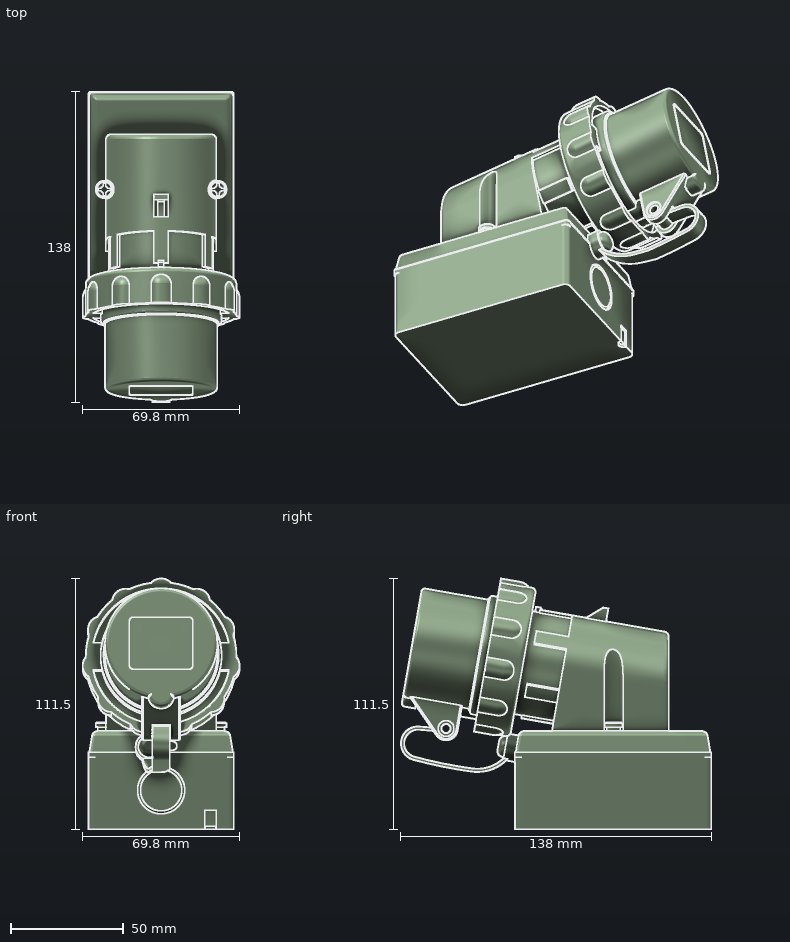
import cadquery as cq
import math

BOX_WIDTH = 64.7
BOX_DEPTH = 87.3
BOX_HEIGHT = 34.4
BOX_CORNER = 2.8
RIM_HEIGHT = 2.3
RIM_CORNER = 1.4

LID_INSET = 0.4
LID_HEIGHT = 9.4
LID_TAPER = 9.5
LID_CORNER = 1.4
LID_TOP_ROUND = 2.8
LID_TOP = BOX_HEIGHT + LID_HEIGHT

KNOCKOUT_HEIGHT = 17.4
KNOCKOUT_DIAMETER = 21.0
KNOCKOUT_FACE_DIAMETER = 18.4
KNOCKOUT_DEPTH = 1.2

NOTCH_X = 22.0
NOTCH_WIDTH = 5.1
NOTCH_HEIGHT = 8.4
NOTCH_FOOT = 1.4
NOTCH_DEPTH = 0.8

LID_SLOT_HEIGHT = 3.9
LID_SLOT_LENGTH = 7.2
LID_SLOT_X = 3.5
LID_SLOT_Z = 37.1
LID_SLOT_DEPTH = 1.7

TILT = 10.0
HOOD_REAR = 18.9
AXIS_HEIGHT = 62.6
HOOD_RADIUS = 24.5
HOOD_LENGTH = 47.9
HOOD_REAR_ROUND = 2.5
BARREL_DIAMETER = 46.5

RIB_COUNT = 6
RIB_LENGTH = 14.5
RIB_WIDTH = 6.3
RIB_END = HOOD_LENGTH + RIB_LENGTH
POINTER_WIDTH = 2.5
POINTER_LENGTH = 2.1
POINTER_HEIGHT = 1.0

HOOK_START = 32.5
HOOK_TIP = 2.3
HOOK_FOOT = 9.0
HOOK_HEIGHT = 5.8
HOOK_WIDTH = 6.5
HOOK_GAP = 2.9

SCREW_X = 25.2
SCREW_Y = -43.5
SCREW_CHANNEL_RADIUS = 4.3
SCREW_HEAD_DIAMETER = 7.7
SCREW_NECK_DIAMETER = 6.0
SCREW_NECK_HEIGHT = 1.7
SCREW_HEAD_HEIGHT = 2.2
SCREW_EDGE = 0.5
CROSS_LENGTH = 5.5
CROSS_WIDTH = 1.1
CROSS_CENTRE = 3.0
CROSS_DEPTH = 1.1

RING_FRONT = 82.0
RING_LENGTH = 16.3
RING_DIAMETER = 67.0
RING_REAR_ROUND = 2.1
RING_OUTER_RADIUS = 35.2
LOBE_COUNT = 11
LOBE_DIAMETER = 12.0
LOBE_LENGTH = 8.7
RECESS_RADIUS = 30.8
RECESS_DEPTH = 2.8
RECESS_TAB_WIDTH = 12.3

CAP_DIAMETER = 50.0
CAP_FRONT = 115.8
CAP_EDGE_ROUND = 1.7
FLANGE_RADIUS = 26.9
FLANGE_LENGTH = 3.3
FLANGE_ROUND = 1.1
COLLAR_RADIUS = 25.7
COLLAR_LENGTH = 0.5
THUMB_DIAMETER = 12.0
THUMB_REACH = 28.4
THUMB_LENGTH = 6.3
LABEL_WIDTH = 28.1
LABEL_HEIGHT = 23.5
LABEL_CORNER = 1.7
LABEL_DEPTH = 0.3

EAR_WIDTH = 17.1
EAR_FRONT = 112.5
EAR_ROOT = 20.7
EAR_TOP = 23.9
EAR_PIN_ALONG = 94.4
EAR_PIN_BELOW = 34.8
EAR_RADIUS = 5.2
EAR_EDGE = 0.7
EAR_SLOT_WIDTH = 8.0
EAR_SLOT_TOP = 34.5
PIN_HOLE_DIAMETER = 4.0
PIN_HOLE_RIM_DIAMETER = 7.0
PIN_HOLE_RIM_DEPTH = 0.7

BUTTON_X = -5.4
BUTTON_Y = -91.5
BUTTON_Z = 36.7
BUTTON_DIAMETER = 12.0
BUTTON_LENGTH = 7.6
BUTTON_SCREW_DIAMETER = 9.5
BUTTON_SCREW_HEIGHT = 3.3
BUTTON_SCREW_ROUND = 2.8
BUTTON_CROSS_LENGTH = 3.6

STRAP_WIDTH = 7.7
STRAP_THICKNESS = 1.5
STRAP_NECK_WIDTH = 6.1
STRAP_STRAIGHT = 113.1
STRAP_EYE_RADIUS = 3.5
STRAP_DROP = (-96.5, 27.9)
STRAP_SAG = (-106.2, 26.4)
STRAP_RISE = (-132.2, 31.6)
STRAP_RETURN = (-130.0, 45.0)

tilt = math.radians(TILT)
AXIS_DIRECTION = (0, -math.cos(tilt), math.sin(tilt))
TUBE = cq.Plane((0, -HOOD_REAR, AXIS_HEIGHT), (1, 0, 0), AXIS_DIRECTION)
BUTTON = cq.Plane((BUTTON_X, BUTTON_Y, BUTTON_Z), (1, 0, 0), AXIS_DIRECTION)
TUBE_FRONT = cq.selectors.DirectionMinMaxSelector(cq.Vector(*AXIS_DIRECTION), True)
TUBE_REAR = cq.selectors.DirectionMinMaxSelector(cq.Vector(*AXIS_DIRECTION), False)
ALONG_TUBE = cq.selectors.ParallelDirSelector(cq.Vector(*AXIS_DIRECTION))

FRONT = cq.Plane((0, -BOX_DEPTH, 0), (1, 0, 0), (0, -1, 0))


def tube_at(along):
    """Workplane square to the tube axis, at a distance along it."""
    return cq.Workplane(TUBE).workplane(offset=along)


def tube_disc(radius, start, end):
    return tube_at(start).circle(radius).extrude(end - start)


def tube_block(width, low, high, start, end):
    """Block centred on x = 0, between two heights and two places along the axis."""
    middle = (low + high) / 2
    return tube_at(start).center(0, middle).rect(width, high - low).extrude(end - start)


def side_plane(x):
    """Workplane facing -X whose first direction runs along the axis and second up across it."""
    return cq.Workplane(cq.Plane((x, -HOOD_REAR, AXIS_HEIGHT), AXIS_DIRECTION, (-1, 0, 0)))


def tube_side_profile(points, width):
    """Side outline given as (along, height) pairs, spread evenly about x = 0."""
    return side_plane(width / 2).polyline(points).close().extrude(width)


def cross_recess(plane, length):
    """Crossed driver slots with a diamond centre, sunk below a screw face."""
    face = cq.Workplane(plane)
    recess = face.rect(length, CROSS_WIDTH).extrude(-CROSS_DEPTH)
    recess = recess.union(face.rect(CROSS_WIDTH, length).extrude(-CROSS_DEPTH))
    diamond = face.transformed((0, 0, 45)).rect(CROSS_CENTRE, CROSS_CENTRE).extrude(-CROSS_DEPTH)
    return recess.union(diamond)


def box():
    middle = -BOX_DEPTH / 2
    lower_height = BOX_HEIGHT - RIM_HEIGHT
    lower = cq.Workplane("XY").center(0, middle).rect(BOX_WIDTH, BOX_DEPTH).extrude(lower_height)
    lower = lower.edges("|Z").fillet(BOX_CORNER)
    rim = cq.Workplane("XY", (0, middle, lower_height)).rect(BOX_WIDTH, BOX_DEPTH).extrude(RIM_HEIGHT)
    rim = rim.edges("|Z").fillet(RIM_CORNER)
    lid = cq.Workplane("XY", (0, middle, BOX_HEIGHT))
    lid = lid.rect(BOX_WIDTH - 2 * LID_INSET, BOX_DEPTH - 2 * LID_INSET)
    lid = lid.extrude(LID_HEIGHT, taper=LID_TAPER)
    lid = lid.faces(">Z").edges().fillet(LID_TOP_ROUND).edges("not(#Z)").fillet(LID_CORNER)
    return lower.union(rim).union(lid)


def knockout_groove():
    """Ring groove with a straight outer wall around a tapered island."""
    face = cq.Workplane(FRONT).center(0, KNOCKOUT_HEIGHT)
    taper = math.atan2((KNOCKOUT_DIAMETER - KNOCKOUT_FACE_DIAMETER) / 2, KNOCKOUT_DEPTH)
    island = face.circle(KNOCKOUT_FACE_DIAMETER / 2).extrude(-KNOCKOUT_DEPTH, taper=-math.degrees(taper))
    return face.circle(KNOCKOUT_DIAMETER / 2).extrude(-KNOCKOUT_DEPTH).cut(island)


def notch():
    """Shallow pocket at the front's lower edge, deepened at the foot by an upright round."""
    face = cq.Workplane(FRONT).center(NOTCH_X, NOTCH_HEIGHT / 2)
    pocket = face.rect(NOTCH_WIDTH, NOTCH_HEIGHT).extrude(-NOTCH_DEPTH)
    foot = cq.Workplane("XY", (NOTCH_X, -BOX_DEPTH, 0)).circle(NOTCH_WIDTH / 2).extrude(NOTCH_FOOT)
    return pocket.union(foot)


def lid_slot():
    face = cq.Workplane(FRONT).center(LID_SLOT_X, LID_SLOT_Z)
    return face.slot2D(LID_SLOT_LENGTH, LID_SLOT_HEIGHT).extrude(-LID_SLOT_DEPTH)


def hood():
    rear_reach = HOOD_RADIUS * math.tan(tilt)
    round_top = tube_disc(HOOD_RADIUS, -rear_reach, HOOD_LENGTH)
    skirt_drop = AXIS_HEIGHT - BOX_HEIGHT
    skirt = tube_side_profile(
        [
            (-skirt_drop, 0),
            (HOOD_LENGTH, 0),
            (HOOD_LENGTH, -2 * skirt_drop),
            (-skirt_drop, -2 * skirt_drop),
        ],
        2 * HOOD_RADIUS,
    )
    clear = 4 * HOOD_RADIUS
    keep = cq.Workplane("XY", (0, -HOOD_REAR - clear / 2, BOX_HEIGHT)).rect(clear, clear).extrude(clear)
    body = round_top.union(skirt).intersect(keep)
    return body.faces(">Y").edges("not(<Z)").fillet(HOOD_REAR_ROUND)


def ribs():
    """Lengthwise ribs on the barrel, flush with the hood."""
    shell = tube_disc(HOOD_RADIUS, HOOD_LENGTH, RIB_END)
    bars = None
    for i in range(RIB_COUNT // 2):
        angle = i * 360 / RIB_COUNT
        bar = tube_at(HOOD_LENGTH).transformed((0, 0, angle)).rect(RIB_WIDTH, 2 * HOOD_RADIUS)
        bar = bar.extrude(RIB_LENGTH)
        bars = bar if bars is None else bars.union(bar)
    return shell.intersect(bars)


def pointer():
    """Small arrow at the end of the top rib."""
    return tube_side_profile(
        [
            (RIB_END - POINTER_LENGTH / 2, 0),
            (RIB_END - POINTER_LENGTH / 2, HOOD_RADIUS),
            (RIB_END, HOOD_RADIUS + POINTER_HEIGHT),
            (RIB_END + POINTER_LENGTH, HOOD_RADIUS + POINTER_HEIGHT),
            (RIB_END + POINTER_LENGTH, 0),
        ],
        POINTER_WIDTH,
    )


def hook():
    """Latch hook on top of the hood, with an open gap between two sloping cheeks."""
    tip = HOOD_RADIUS + HOOK_HEIGHT
    root = BARREL_DIAMETER / 2
    shape = tube_side_profile(
        [
            (HOOK_START, root),
            (HOOK_START, tip),
            (HOOK_START + HOOK_TIP, tip),
            (HOOK_START + HOOK_FOOT, HOOD_RADIUS),
            (HOOK_START + HOOK_FOOT, root),
        ],
        HOOK_WIDTH,
    )
    gap = tube_block(HOOK_GAP, HOOD_RADIUS, tip, HOOK_START + HOOK_TIP, HOOK_START + HOOK_FOOT)
    return shape.cut(gap)


def screw(side):
    x = side * SCREW_X
    head_base = LID_TOP + SCREW_NECK_HEIGHT
    head_top = head_base + SCREW_HEAD_HEIGHT
    neck = cq.Workplane("XY", (x, SCREW_Y, BOX_HEIGHT))
    neck = neck.circle(SCREW_NECK_DIAMETER / 2).extrude(head_base - BOX_HEIGHT)
    head = cq.Workplane("XY", (x, SCREW_Y, head_base))
    head = head.circle(SCREW_HEAD_DIAMETER / 2).extrude(SCREW_HEAD_HEIGHT)
    head = head.faces(">Z").edges().chamfer(SCREW_EDGE)
    return neck.union(head).cut(cross_recess(cq.Plane((x, SCREW_Y, head_top)), CROSS_LENGTH))


def screw_channel(side):
    start = cq.Workplane("XY", (side * SCREW_X, SCREW_Y, LID_TOP))
    return start.circle(SCREW_CHANNEL_RADIUS).extrude(2 * HOOD_RADIUS)


def locking_ring():
    rear = RING_FRONT - RING_LENGTH
    ring = tube_disc(RING_DIAMETER / 2, rear, RING_FRONT)
    ring = ring.faces(TUBE_REAR).edges().fillet(RING_REAR_ROUND)

    lobe_radius = LOBE_DIAMETER / 2
    lobe_centre = RING_OUTER_RADIUS - lobe_radius
    dome_start = RING_FRONT - LOBE_LENGTH
    for i in range(LOBE_COUNT):
        angle = math.pi / 2 + i * 2 * math.pi / LOBE_COUNT
        x = lobe_centre * math.cos(angle)
        height = lobe_centre * math.sin(angle)
        lobe = tube_at(dome_start).center(x, height).circle(lobe_radius).extrude(LOBE_LENGTH)
        dome = tube_at(dome_start).center(x, height).sphere(lobe_radius)
        ring = ring.union(lobe).union(dome)

    floor = RING_FRONT - RECESS_DEPTH
    tabs = tube_block(2 * RECESS_RADIUS, -RECESS_TAB_WIDTH / 2, RECESS_TAB_WIDTH / 2, floor, RING_FRONT)
    return ring.cut(tube_disc(RECESS_RADIUS, floor, RING_FRONT).cut(tabs))


def lower_boss(start, end):
    """Round boss along the underside of the cap."""
    radius = THUMB_DIAMETER / 2
    return tube_at(start).center(0, radius - THUMB_REACH).circle(radius).extrude(end - start)


def cap():
    flange_end = RING_FRONT + FLANGE_LENGTH
    thumb = lower_boss(CAP_FRONT - THUMB_LENGTH, CAP_FRONT)
    body = tube_disc(CAP_DIAMETER / 2, RING_FRONT - RECESS_DEPTH, CAP_FRONT).union(thumb)
    body = body.faces(TUBE_FRONT).edges().fillet(CAP_EDGE_ROUND)
    flange = tube_disc(FLANGE_RADIUS, RING_FRONT - RECESS_DEPTH, flange_end)
    flange = flange.faces(TUBE_FRONT).edges().fillet(FLANGE_ROUND)
    collar = tube_disc(COLLAR_RADIUS, flange_end, flange_end + COLLAR_LENGTH)
    label = tube_at(CAP_FRONT).rect(LABEL_WIDTH, LABEL_HEIGHT).extrude(-LABEL_DEPTH)
    label = label.edges(ALONG_TUBE).fillet(LABEL_CORNER)
    return body.union(flange).union(collar).cut(label)


def ear():
    """Bracket under the cap: a rounded triangle with a slot for the strap's eye."""
    reach = math.hypot(EAR_FRONT - EAR_PIN_ALONG, EAR_PIN_BELOW - EAR_TOP)
    heading = math.atan2(EAR_PIN_BELOW - EAR_TOP, EAR_FRONT - EAR_PIN_ALONG)
    tangent = heading - math.acos(EAR_RADIUS / reach)
    touch = (
        EAR_PIN_ALONG + EAR_RADIUS * math.cos(tangent),
        -EAR_PIN_BELOW + EAR_RADIUS * math.sin(tangent),
    )
    lowest = (EAR_PIN_ALONG, -EAR_PIN_BELOW - EAR_RADIUS)
    back = EAR_PIN_ALONG - EAR_RADIUS
    plate = side_plane(EAR_WIDTH / 2).moveTo(back, -EAR_ROOT).lineTo(back, -EAR_PIN_BELOW)
    plate = plate.threePointArc(lowest, touch).lineTo(EAR_FRONT, -EAR_TOP).lineTo(EAR_FRONT, -EAR_ROOT)
    plate = plate.close().extrude(EAR_WIDTH)
    plate = plate.faces("<X or >X").edges().chamfer(EAR_EDGE)
    slot_bottom = -EAR_PIN_BELOW - 2 * EAR_RADIUS
    slot = tube_block(EAR_SLOT_WIDTH, slot_bottom, -EAR_SLOT_TOP, 0, CAP_FRONT)
    return plate.cut(slot)


def hinge_block():
    return lower_boss(RING_FRONT - RECESS_DEPTH, EAR_PIN_ALONG - EAR_RADIUS)


def pin_hole():
    """Cross hole through the ear and strap eye, with a shallow counterbore on both outer faces."""
    pin = TUBE.toWorldCoords((0, -EAR_PIN_BELOW, EAR_PIN_ALONG))
    middle = cq.Workplane("YZ", pin.toTuple())
    hole = middle.circle(PIN_HOLE_DIAMETER / 2).extrude(EAR_WIDTH, both=True)
    rim = middle.circle(PIN_HOLE_RIM_DIAMETER / 2).extrude(EAR_WIDTH, both=True)
    core = middle.circle(PIN_HOLE_RIM_DIAMETER).extrude(EAR_WIDTH / 2 - PIN_HOLE_RIM_DEPTH, both=True)
    return hole.union(rim.cut(core))


def button():
    """Boss on the lid front that holds the strap under a domed screw."""
    boss = cq.Workplane(BUTTON).circle(BUTTON_DIAMETER / 2).extrude(-BUTTON_LENGTH)
    head = cq.Workplane(BUTTON).circle(BUTTON_SCREW_DIAMETER / 2).extrude(BUTTON_SCREW_HEIGHT)
    head = head.faces(TUBE_FRONT).edges().fillet(BUTTON_SCREW_ROUND)
    top = BUTTON.toWorldCoords((0, 0, BUTTON_SCREW_HEIGHT)).toTuple()
    face = cq.Plane(top, (1, 0, 0), AXIS_DIRECTION)
    return boss.union(head.cut(cross_recess(face, BUTTON_CROSS_LENGTH)))


def strap():
    """Band that leaves the button, sags, loops back at the front and ends on the ear's pin."""
    pin = TUBE.toWorldCoords((0, -EAR_PIN_BELOW, EAR_PIN_ALONG))
    start = (BUTTON_Y + STRAP_THICKNESS / 2, BUTTON_Z - BUTTON_DIAMETER / 2 + STRAP_THICKNESS)
    end = (pin.y - STRAP_EYE_RADIUS / 2, pin.z - STRAP_EYE_RADIUS / 4)
    spread = BUTTON_DIAMETER + STRAP_WIDTH
    path = cq.Workplane("YZ").moveTo(*start)
    path = path.threePointArc(STRAP_DROP, STRAP_SAG)
    first = path.val().tangentAt(0)
    for place in (STRAP_RISE, STRAP_RETURN, end):
        path = path.tangentArcPoint(place, relative=False)
    section = cq.Workplane(cq.Plane((0, *start), (1, 0, 0), first.toTuple()))
    band = section.rect(2 * spread, STRAP_THICKNESS).sweep(path)
    half = STRAP_WIDTH / 2
    neck = STRAP_NECK_WIDTH / 2
    outline = cq.Workplane("XY").polyline(
        [
            (BUTTON_X - neck, -BOX_DEPTH),
            (BUTTON_X + neck, -BOX_DEPTH),
            (BUTTON_X + neck, BUTTON_Y),
            (half, -STRAP_STRAIGHT),
            (half, -2 * BOX_DEPTH),
            (-half, -2 * BOX_DEPTH),
            (-half, -STRAP_STRAIGHT),
            (BUTTON_X - neck, BUTTON_Y),
        ]
    )
    band = band.intersect(outline.close().extrude(AXIS_HEIGHT))
    eye = cq.Workplane("YZ", (-half, pin.y, pin.z)).circle(STRAP_EYE_RADIUS).extrude(STRAP_WIDTH)
    return band.union(eye)


result = box().cut(knockout_groove()).cut(notch()).cut(lid_slot())
result = result.union(hood())
for side in (-1, 1):
    result = result.cut(screw_channel(side)).union(screw(side))
result = result.union(tube_disc(BARREL_DIAMETER / 2, HOOD_LENGTH, RING_FRONT))
result = result.union(ribs()).union(pointer()).union(hook())
result = result.union(locking_ring()).union(cap()).union(hinge_block()).union(ear())
result = result.union(button()).union(strap()).cut(pin_hole())